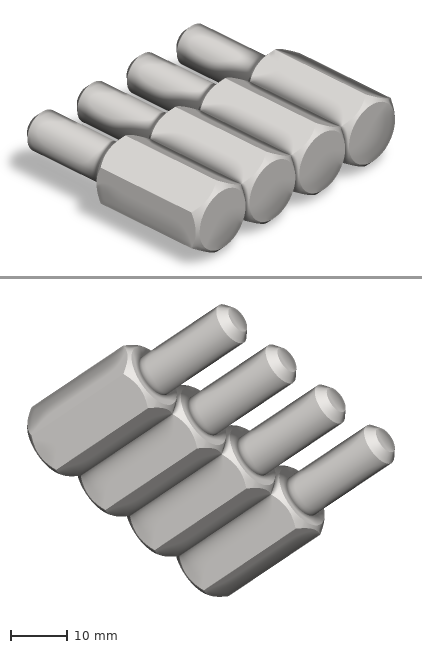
import cadquery as cq
import math

STANDOFF_COUNT = 4
HEX_SIDES = 6
ACROSS_FLATS = 13.0
HEX_LENGTH = 25.0
STUD_LENGTH = 20.0
STUD_DIAMETER = 8.0

STUD_TIP_CHAMFER = 1.5
HEX_END_DIAMETER = 12.0

ACROSS_CORNERS = ACROSS_FLATS / math.cos(math.pi / HEX_SIDES)
HEX_CHAMFER = (ACROSS_CORNERS - HEX_END_DIAMETER) / 2
PITCH = ACROSS_FLATS


def make_hex_body():
    """Hexagonal prism along +X from the shoulder, corners up and down, both ends turned to a cone."""
    prism = (
        cq.Workplane("YZ")
        .polygon(HEX_SIDES, ACROSS_CORNERS)
        .extrude(HEX_LENGTH)
        .rotate((0, 0, 0), (1, 0, 0), 90)
    )
    turned_envelope = (
        cq.Workplane("YZ")
        .circle(ACROSS_CORNERS / 2)
        .extrude(HEX_LENGTH)
        .faces("<X or >X")
        .chamfer(HEX_CHAMFER)
    )
    return prism.intersect(turned_envelope)


def make_stud():
    """Round stud along -X from the shoulder, with a conical tip."""
    stud_radius = STUD_DIAMETER / 2
    tip_radius = stud_radius - STUD_TIP_CHAMFER
    return (
        cq.Workplane("XY")
        .moveTo(0, 0)
        .lineTo(0, stud_radius)
        .lineTo(STUD_TIP_CHAMFER - STUD_LENGTH, stud_radius)
        .lineTo(-STUD_LENGTH, tip_radius)
        .lineTo(-STUD_LENGTH, 0)
        .close()
        .revolve(360, (0, 0, 0), (1, 0, 0))
    )


def make_standoff(center_y):
    """One standoff: hexagonal body and stud in a single solid."""
    return make_hex_body().union(make_stud()).translate((0, center_y, 0))


standoffs = []
for index in range(STANDOFF_COUNT):
    center_y = (index - (STANDOFF_COUNT - 1) / 2) * PITCH
    standoffs.append(make_standoff(center_y).val())

result = cq.Compound.makeCompound(standoffs)